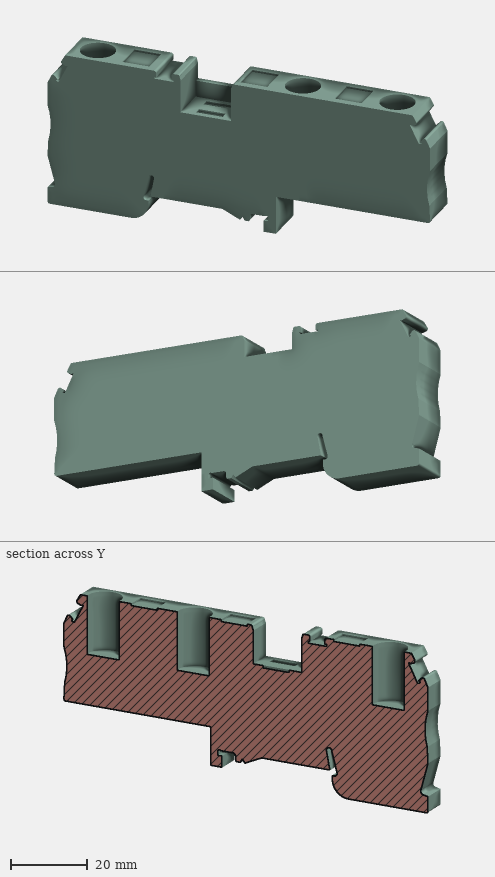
import cadquery as cq
import math

LENGTH = 107.6
THICKNESS = 12.0
HEIGHT = 43.5

ARC_MID_SHARE = 1 - math.sqrt(0.5)

RAIL_SEAT_Z = 7.1
RIGHT_BOTTOM_Z = 13.2
RAIL_HOOK_BOTTOM_Z = 2.6
LATCH_BOTTOM_Z = 4.8
CATCH_TOP_Z = 5.8

FOOT_RIGHT_X = 28.4
FOOT_RADIUS = 5.0
FOOT_LEDGE_Z = 5.0
FOOT_LEDGE_DROP = 0.3
BOTTOM_CORNER = 0.6
HOOK_LEFT_X = 60.8
HOOK_RIGHT_X = 64.2

HOOK_TOP_X = 5.0
HOOK_TIP_X = 3.9
NOTCH_BOTTOM = (3.1, 35.5)
NOTCH_TOP = (5.6, 40.4)
SHOULDER_Z = 34.8
WAIST_TOP_Z = 28.3
WAIST_BOTTOM_Z = 18.3
WAIST_DEPTH = 0.9
WAIST_SETBACK = 0.2
RELIEF_BOTTOM_Z = 14.1
FOOT_TAPER_TOP_Z = 13.8
RELIEF_OVERCUT = 1.1

GROOVE_LEFT_X = 30.6
GROOVE_RIGHT_X = 34.9
GROOVE_FLOOR_Z = 41.2
GROOVE_UNDERCUT = 0.5
GROOVE_UNDERCUT_HEIGHT = 0.4
GROOVE_LIP_RADIUS = 0.6

RECESS_LEFT_X = 37.4
RECESS_RIGHT_X = 51.5
RECESS_FLOOR_Z = 32.8
RECESS_BACK_WALL = 1.6
RECESS_BACK_WALL_TOP_Z = 37.4
RECESS_FLARE_Z = 42.0
RECESS_FLARE = 0.3
RECESS_LEFT_LIP_RADIUS = 0.4
RECESS_RIGHT_LIP_RADIUS = 0.6

HOLE_DIAMETER = 9.5
HOLE_DEPTH = 16.1
HOLE_CENTERS_X = (11.7, 69.4, 96.0)
WINDOW_LENGTH = 7.5
WINDOW_WIDTH = 8.2
WINDOW_DEPTH = 0.5
WINDOW_CENTERS_X = (24.1, 57.2, 83.8)
SLOT_LENGTH = 7.5
SLOT_WIDTH = 2.0
SLOT_DEPTH = 0.6
SLOT_CENTER_X = 44.9
SLOT_PITCH = 5.3
SLOT_ROW_Y = -RECESS_BACK_WALL / 2
SLOT_CENTERS_Y = (SLOT_ROW_Y + SLOT_PITCH / 2, SLOT_ROW_Y - SLOT_PITCH / 2)


def extrude_across(outline):
    """Extrude a closed XZ outline over the whole thickness, centred on Y = 0."""
    return outline.close().extrude(THICKNESS / 2, both=True)


def housing():
    """Housing outline with the rail foot, with plain ends above the foot."""
    foot_center_x = FOOT_RIGHT_X - FOOT_RADIUS
    corner_sag = BOTTOM_CORNER * ARC_MID_SHARE
    foot_sag = FOOT_RADIUS * ARC_MID_SHARE
    outline = (
        cq.Workplane("XZ")
        .moveTo(0, HEIGHT)
        .lineTo(0, FOOT_TAPER_TOP_Z)
        .lineTo(2.0, 6.2)
        .threePointArc((2.0, 5.4), (1.4, FOOT_LEDGE_Z))
        .lineTo(0, FOOT_LEDGE_Z - FOOT_LEDGE_DROP)
        .lineTo(0, BOTTOM_CORNER)
        .threePointArc((corner_sag, corner_sag), (BOTTOM_CORNER, 0))
        .lineTo(foot_center_x, 0)
        .threePointArc(
            (FOOT_RIGHT_X - foot_sag, foot_sag),
            (FOOT_RIGHT_X, FOOT_RADIUS),
        )
        .lineTo(FOOT_RIGHT_X, CATCH_TOP_Z)
        .lineTo(27.5, CATCH_TOP_Z)
        .threePointArc((27.0, 6.2), (27.0, 6.9))
        .lineTo(28.5, 12.5)
        .threePointArc((29.3, 13.2), (29.9, 12.2))
        .lineTo(28.9, RAIL_SEAT_Z)
        .lineTo(49.2, RAIL_SEAT_Z)
        .lineTo(54.1, LATCH_BOTTOM_Z)
        .lineTo(54.9, CATCH_TOP_Z)
        .lineTo(55.4, LATCH_BOTTOM_Z)
        .lineTo(56.6, LATCH_BOTTOM_Z)
        .lineTo(56.9, 5.3)
        .lineTo(56.9, 6.3)
        .threePointArc((57.1, 6.9), (57.7, RAIL_SEAT_Z))
        .lineTo(61.2, RAIL_SEAT_Z)
        .threePointArc((61.9, 7.2), (62.1, 6.7))
        .lineTo(62.1, CATCH_TOP_Z)
        .lineTo(HOOK_LEFT_X, CATCH_TOP_Z)
        .lineTo(HOOK_LEFT_X, RAIL_HOOK_BOTTOM_Z)
        .lineTo(HOOK_RIGHT_X, RAIL_HOOK_BOTTOM_Z)
        .lineTo(HOOK_RIGHT_X, RIGHT_BOTTOM_Z)
        .lineTo(LENGTH - BOTTOM_CORNER, RIGHT_BOTTOM_Z)
        .threePointArc(
            (LENGTH - corner_sag, RIGHT_BOTTOM_Z + corner_sag),
            (LENGTH, RIGHT_BOTTOM_Z + BOTTOM_CORNER),
        )
        .lineTo(LENGTH, HEIGHT)
    )
    return extrude_across(outline)


def left_end_relief():
    """Material taken off the left end: top hook, label notch and finger waist."""
    waist_mid_z = (WAIST_TOP_Z + WAIST_BOTTOM_Z) / 2
    outline = (
        cq.Workplane("XZ")
        .moveTo(0, HEIGHT)
        .lineTo(HOOK_TOP_X, HEIGHT)
        .lineTo(HOOK_TIP_X, 41.6)
        .threePointArc((HOOK_TIP_X, 41.1), (4.2, 40.8))
        .lineTo(5.1, 40.5)
        .lineTo(5.7, 40.6)
        .lineTo(*NOTCH_TOP)
        .lineTo(*NOTCH_BOTTOM)
        .lineTo(2.4, 35.7)
        .lineTo(2.5, 35.9)
        .lineTo(2.9, 36.0)
        .lineTo(2.0, 37.0)
        .threePointArc((1.5, 37.2), (1.0, 36.8))
        .lineTo(0, SHOULDER_Z)
        .lineTo(0, WAIST_TOP_Z)
        .threePointArc((WAIST_DEPTH, waist_mid_z), (WAIST_SETBACK, WAIST_BOTTOM_Z))
        .lineTo(0, RELIEF_BOTTOM_Z)
        .lineTo(-RELIEF_OVERCUT, RELIEF_BOTTOM_Z)
        .lineTo(-RELIEF_OVERCUT, HEIGHT)
    )
    return extrude_across(outline)


def marker_groove():
    """Groove across the top with rounded lips and small undercuts at the floor."""
    undercut_top_z = GROOVE_FLOOR_Z + GROOVE_UNDERCUT_HEIGHT
    lip_z = HEIGHT - GROOVE_LIP_RADIUS
    lip_sag = GROOVE_LIP_RADIUS * ARC_MID_SHARE
    outline = (
        cq.Workplane("XZ")
        .moveTo(GROOVE_LEFT_X - GROOVE_LIP_RADIUS, HEIGHT)
        .threePointArc((GROOVE_LEFT_X - lip_sag, HEIGHT - lip_sag), (GROOVE_LEFT_X, lip_z))
        .lineTo(GROOVE_LEFT_X, undercut_top_z)
        .lineTo(GROOVE_LEFT_X - GROOVE_UNDERCUT, undercut_top_z)
        .lineTo(GROOVE_LEFT_X - GROOVE_UNDERCUT, GROOVE_FLOOR_Z)
        .lineTo(GROOVE_RIGHT_X + GROOVE_UNDERCUT, GROOVE_FLOOR_Z)
        .lineTo(GROOVE_RIGHT_X + GROOVE_UNDERCUT, undercut_top_z)
        .lineTo(GROOVE_RIGHT_X, undercut_top_z)
        .lineTo(GROOVE_RIGHT_X, lip_z)
        .threePointArc(
            (GROOVE_RIGHT_X + lip_sag, HEIGHT - lip_sag),
            (GROOVE_RIGHT_X + GROOVE_LIP_RADIUS, HEIGHT),
        )
    )
    return extrude_across(outline)


def upper_recess():
    """Opening between the two upper blocks, down to the top of the low back wall."""
    left_lip_x = RECESS_LEFT_X - RECESS_FLARE
    right_lip_x = RECESS_RIGHT_X + RECESS_FLARE
    left_sag = RECESS_LEFT_LIP_RADIUS * ARC_MID_SHARE
    right_sag = RECESS_RIGHT_LIP_RADIUS * ARC_MID_SHARE
    return extrude_across(
        cq.Workplane("XZ")
        .moveTo(left_lip_x - RECESS_LEFT_LIP_RADIUS, HEIGHT)
        .threePointArc(
            (left_lip_x - left_sag, HEIGHT - left_sag),
            (left_lip_x, HEIGHT - RECESS_LEFT_LIP_RADIUS),
        )
        .lineTo(RECESS_LEFT_X, RECESS_FLARE_Z)
        .lineTo(RECESS_LEFT_X, RECESS_BACK_WALL_TOP_Z)
        .lineTo(RECESS_RIGHT_X, RECESS_BACK_WALL_TOP_Z)
        .lineTo(RECESS_RIGHT_X, RECESS_FLARE_Z)
        .lineTo(right_lip_x, HEIGHT - RECESS_RIGHT_LIP_RADIUS)
        .threePointArc(
            (right_lip_x + right_sag, HEIGHT - right_sag),
            (right_lip_x + RECESS_RIGHT_LIP_RADIUS, HEIGHT),
        )
    )


def lower_recess():
    """Deeper part of the recess, in front of the low back wall."""
    pocket = cq.Workplane("XY").box(
        RECESS_RIGHT_X - RECESS_LEFT_X,
        THICKNESS - RECESS_BACK_WALL,
        RECESS_BACK_WALL_TOP_Z - RECESS_FLOOR_Z,
        centered=False,
    )
    return pocket.translate((RECESS_LEFT_X, -THICKNESS / 2, RECESS_FLOOR_Z))


def sunk_rectangles(centers, length, width, top_z, depth):
    """Rectangular pockets sunk from the level top_z at the given XY centres."""
    return (
        cq.Workplane("XY", origin=(0, 0, top_z))
        .pushPoints(centers)
        .rect(length, width)
        .extrude(-depth)
    )


def wire_holes():
    """Blind round wire entries in the top faces."""
    return (
        cq.Workplane("XY", origin=(0, 0, HEIGHT))
        .pushPoints([(x, 0) for x in HOLE_CENTERS_X])
        .circle(HOLE_DIAMETER / 2)
        .extrude(-HOLE_DEPTH)
    )


end_relief = left_end_relief()
windows = sunk_rectangles(
    [(x, 0) for x in WINDOW_CENTERS_X], WINDOW_LENGTH, WINDOW_WIDTH, HEIGHT, WINDOW_DEPTH
)
recess_slots = sunk_rectangles(
    [(SLOT_CENTER_X, y) for y in SLOT_CENTERS_Y],
    SLOT_LENGTH,
    SLOT_WIDTH,
    RECESS_FLOOR_Z,
    SLOT_DEPTH,
)

result = (
    housing()
    .cut(end_relief)
    .cut(end_relief.mirror("YZ", (LENGTH / 2, 0, 0)))
    .cut(marker_groove())
    .cut(upper_recess())
    .cut(lower_recess())
    .cut(wire_holes())
    .cut(windows)
    .cut(recess_slots)
)